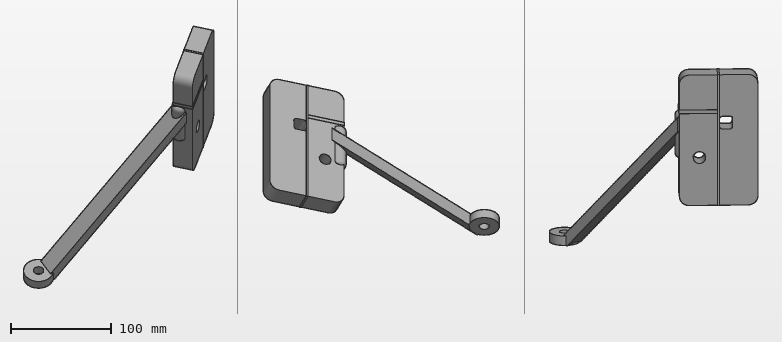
import cadquery as cq
import math

foot_radius = 15.0
foot_thickness = 10.0
foot_hole_diameter = 10.0

arm_width = 20.0
arm_thickness = 10.5
arm_rise = arm_thickness * math.sqrt(2)
arm_toe_y = 12.8
arm_end_y = 162.2

case_turn = -45
case_width = 78.0
case_height = 135.3
case_thickness = 20.0
case_corner_radius = 10.0
overall_length = 237.5
overall_width = 71.2
overall_height = 210.0

upright_band_relief = 0.2
level_band_relief = 0.5
upright_band_width = 2.0
upright_band_start = 38.2
level_band_width = 3.8
level_band_drop = 36.0

window_size = 13.0
window_corner_radius = 3.0
window_left = upright_band_start - window_size
window_drop = 43.2
round_hole_diameter = 12.0
round_hole_left = 58.2
round_hole_drop = 85.7

pin_diameter = 16.0
pin_length = 48.7
pin_fillet = 4.7
pin_y = 160.0
pin_drop = 40.8


def make_foot():
    return cq.Workplane("XY").circle(foot_radius).extrude(foot_thickness)


def make_arm():
    top_toe_y = arm_toe_y - arm_rise + foot_thickness
    end_z = arm_end_y - arm_toe_y
    return (
        cq.Workplane("YZ")
        .moveTo(arm_toe_y, 0)
        .lineTo(arm_end_y, end_z)
        .lineTo(arm_end_y, end_z + arm_rise)
        .lineTo(top_toe_y, foot_thickness)
        .lineTo(top_toe_y, 0)
        .close()
        .extrude(arm_width / 2, both=True)
    )


def case_block(left, drop, width, height, depth):
    """Block in case coordinates: X from the left edge, Y into the case, Z = 0 at its top."""
    return cq.Workplane("XY").box(width, depth, height).translate(
        (left + width / 2, case_thickness / 2, -drop - height / 2)
    )


def make_case():
    case = case_block(0, 0, case_width, case_height, case_thickness)
    case = case.edges("|Y").fillet(case_corner_radius)

    upright_band = case_block(
        upright_band_start,
        -upright_band_relief,
        upright_band_width,
        case_height + 2 * upright_band_relief,
        case_thickness + 2 * upright_band_relief,
    )
    level_band = case_block(
        upright_band_start + upright_band_width,
        level_band_drop,
        case_width - upright_band_start - upright_band_width + level_band_relief,
        level_band_width,
        case_thickness + 2 * level_band_relief,
    )
    case = case.union(upright_band).union(level_band)

    cutter_depth = 2 * case_thickness
    window = case_block(
        window_left,
        window_drop,
        window_size,
        window_size,
        cutter_depth,
    )
    window = window.edges("|Y").fillet(window_corner_radius)
    round_hole = (
        cq.Workplane("XZ")
        .center(round_hole_left, -round_hole_drop)
        .circle(round_hole_diameter / 2)
        .extrude(cutter_depth, both=True)
    )
    case = case.cut(window).cut(round_hole)

    left_x = foot_radius - overall_width
    left_y = overall_length - foot_radius - case_thickness / math.sqrt(2)
    case = case.rotate((0, 0, 0), (0, 0, 1), case_turn)
    return case.translate((left_x, left_y, overall_height - upright_band_relief))


def make_pin():
    pin_bottom = overall_height - pin_drop - pin_length
    pin = cq.Workplane("XY").circle(pin_diameter / 2).extrude(pin_length)
    return pin.edges().fillet(pin_fillet).translate((0, pin_y, pin_bottom))


foot_hole = cq.Workplane("XY").circle(foot_hole_diameter / 2).extrude(foot_thickness)
result = make_case().union(make_pin()).union(make_arm()).union(make_foot()).cut(foot_hole)